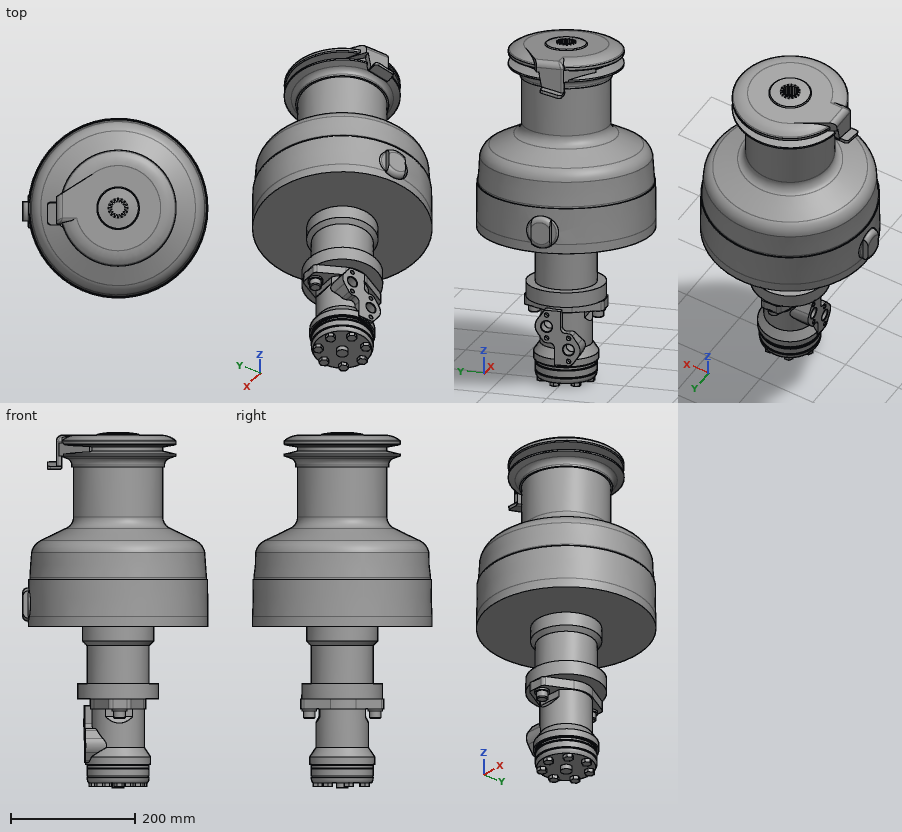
import cadquery as cq
import math


TOP_Z = 571.0
CAP_Z = 567.0
BOSS_EDGE_Z = 569.0
BOSS_R = 32.5
BOSS_FOOT_R = 34.0
CAP_FLAT_R = 68.5
JAW_R = 187.0 / 2
DRUM_R = 144.0 / 2
CAP_RIM_TOP_Z = 559.0
CAP_RIM_BOTTOM_Z = 551.0
CAP_RIM_BEVEL = 1.5
GROOVE_TOP_Z = 548.0
GROOVE_BOTTOM_Z = 541.5
LOWER_RIM_TOP_Z = 536.5
LOWER_RIM_BOTTOM_Z = 533.5
LOWER_LIP_R = 82.0
LOWER_LIP_Z = 529.5
COLLAR_R = 75.0
COLLAR_TOP_Z = 519.0
COLLAR_BOTTOM_Z = 516.0

NECK_TOP_Z = 435.5
SHOULDER_TOP = (84.5, 417.0)
SHOULDER_BOTTOM = (124.5, 397.5)
SHELL_TOP = (139.5, 379.0)
SEAM_R = 142.0
SEAM_TOP_Z = 338.0
SEAM_BOTTOM_Z = 335.5
HOUSING_R = 144.5
HOUSING_TAPER_R = 144.0
HOUSING_TAPER_Z = 275.5
HOUSING_BOTTOM_Z = 259.5

GEARBOX_R = 115.0 / 2
GEARBOX_BOTTOM_Z = 236.0
TUBE_R = 100.0 / 2
TUBE_TOP_Z = 228.5
FLANGE_R = 130.0 / 2
FLANGE_TOP_Z = 167.5
FLANGE_BOTTOM_Z = 143.0

SOCKET_OUTER_R = 32.0 / 2
SOCKET_INNER_R = 10.0
SOCKET_TEETH = 16
SOCKET_DEPTH = 23.0

ARM_OUTER_X = -99.5
ARM_THICKNESS = 9.0
ARM_BEND_R = 10.0
ARM_EDGE_R = 3.0
ARM_BACK_TOP_Y = 18.0
ARM_BACK_BOTTOM_Y = 9.5
ARM_FRONT_Y = -25.5
ARM_ROOT_FRONT = (-65.0, -17.5)
ARM_ROOT_BACK = (-38.0, 56.5)
ARM_PLATE_DEPTH = 18.0
FOOT_OUTER_X = -113.5
FOOT_THICKNESS = 5.0
FOOT_BOTTOM_Z = 512.0
FOOT_TILT = 12.0
FOOT_CORNER_R = 5.0
FOOT_HEEL_R = 4.0
FINGER_BACK = (-64.5, 31.5)
FINGER_ROOT_FRONT = (-95.5, -25.5)
FINGER_FRONT = (-46.0, -64.5)

KNOB_Y = -5.0
KNOB_Z = 295.0
KNOB_R = 53.5 / 2
KNOB_FACE_X = -153.5
KNOB_DISC_X = -144.5
KNOB_GRIP_WIDTH = 31.5
KNOB_EDGE_R = 8.5
KNOB_DISC_EDGE_R = 3.0

MOTOR_TURN = 2.5
PLATE_BOTTOM_Z = 127.0
PLATE_R = 89.5 / 2
EAR_LENGTH = 133.0 / 2
EAR_HALF_WIDTH = 16.0
EAR_CORNER_R = 7.5
BODY_R = 85.0 / 2
BODY_BOTTOM_Z = 64.5
BULGE_R = 105.0 / 2
BULGE_TOP_Z = 49.5
BULGE_BOTTOM_Z = 37.5
END_COVER_R = TUBE_R
END_COVER_Z = 8.0
END_COVER_ROUND_Z = 16.0
END_COVER_BOTTOM_R = 47.5
END_GROOVE_Z = (36.5, 31.0, 17.5)
END_GROOVE_WIDTH = 1.5
END_GROOVE_DEPTH = 1.0
PLUG_R = 19.0 / 2
END_BOLT_COUNT = 7
END_BOLT_CIRCLE_R = 39.5
END_BOLT_CORNERS = 16.5
END_BOLT_BOTTOM_Z = 1.5

MOUNT_BOLT_Y = 53.0
WASHER_R = 24.0 / 2
WASHER_BOTTOM_Z = 123.5
MOUNT_HEAD_R = 19.0 / 2
MOUNT_HEAD_BOTTOM_Z = 111.5
MOUNT_HEAD_CHAMFER = 1.5
RELIEF_Y = 36.5
RELIEF_BOTTOM_Z = 114.0
RELIEF_SLOPE = 1.7

PORT_FACE_X = -53.5
PORT_MID_Z = 86.0
PORT_OFFSET = 18.0
PORT_R = 18.0 / 2
PORT_BEVEL = 0.85
PORT_DEPTH = 20.0
PORT_LOBE_R = 38.0 / 2
PIN_SPACING = 19.5
PIN_R = 7.0 / 2
PIN_BEVEL = 0.3
PIN_DEPTH = 8.5
PIN_LOBE_R = 8.0
BRIDGE_HALF_WIDTH = 5.0
BRIDGE_FILLET = 8.0
DRILL_TIP_ANGLE = 118.0

OVERLAP = 3.0


def cylinder(radius, bottom, top, x=0.0, y=0.0):
    """Upright cylinder between two heights."""
    return cq.Workplane("XY", origin=(x, y, bottom)).circle(radius).extrude(top - bottom)


def make_drum_and_housing():
    """One turned body from the handle boss down to the gearbox flange."""
    profile = (
        cq.Workplane("XZ")
        .moveTo(0, TOP_Z)
        .lineTo(SOCKET_OUTER_R, TOP_Z)
        .lineTo(BOSS_R, BOSS_EDGE_Z)
        .lineTo(BOSS_FOOT_R, CAP_Z)
        .lineTo(CAP_FLAT_R, CAP_Z)
        .tangentArcPoint((JAW_R - CAP_RIM_BEVEL, CAP_RIM_TOP_Z), relative=False)
        .lineTo(JAW_R, CAP_RIM_TOP_Z - CAP_RIM_BEVEL)
        .lineTo(JAW_R, CAP_RIM_BOTTOM_Z + CAP_RIM_BEVEL)
        .lineTo(JAW_R - CAP_RIM_BEVEL, CAP_RIM_BOTTOM_Z)
        .lineTo(DRUM_R, GROOVE_TOP_Z)
        .lineTo(DRUM_R, GROOVE_BOTTOM_Z)
        .lineTo(JAW_R, LOWER_RIM_TOP_Z)
        .lineTo(JAW_R, LOWER_RIM_BOTTOM_Z)
        .lineTo(LOWER_LIP_R, LOWER_LIP_Z)
        .tangentArcPoint((COLLAR_R, COLLAR_TOP_Z), relative=False)
        .lineTo(COLLAR_R, COLLAR_BOTTOM_Z)
        .lineTo(DRUM_R, COLLAR_BOTTOM_Z)
        .lineTo(DRUM_R, NECK_TOP_Z)
        .tangentArcPoint(SHOULDER_TOP, relative=False)
        .lineTo(*SHOULDER_BOTTOM)
        .tangentArcPoint(SHELL_TOP, relative=False)
        .lineTo(SEAM_R, SEAM_TOP_Z)
        .lineTo(SEAM_R, SEAM_BOTTOM_Z)
        .lineTo(HOUSING_TAPER_R, SEAM_BOTTOM_Z)
        .lineTo(HOUSING_R, HOUSING_TAPER_Z)
        .lineTo(HOUSING_R, HOUSING_BOTTOM_Z)
        .lineTo(GEARBOX_R, HOUSING_BOTTOM_Z)
        .lineTo(GEARBOX_R, GEARBOX_BOTTOM_Z)
        .lineTo(TUBE_R, TUBE_TOP_Z)
        .lineTo(TUBE_R, FLANGE_TOP_Z)
        .lineTo(FLANGE_R, FLANGE_TOP_Z)
        .lineTo(FLANGE_R, FLANGE_BOTTOM_Z)
        .lineTo(0, FLANGE_BOTTOM_Z)
        .close()
    )
    return profile.revolve(360, (0, 0, 0), (0, 1, 0))


def make_socket():
    """Splined blind socket for the winch handle."""
    quarter_pitch = math.pi / SOCKET_TEETH / 2
    outline = []
    for step in range(4 * SOCKET_TEETH):
        radius = SOCKET_OUTER_R if step % 4 < 2 else SOCKET_INNER_R
        angle = (step - 0.5) * quarter_pitch
        outline.append((radius * math.cos(angle), radius * math.sin(angle)))
    return cq.Workplane("XY", origin=(0, 0, TOP_Z)).polyline(outline).close().extrude(-SOCKET_DEPTH)


def make_arm():
    """Flat arm on the cap that bends down outside the jaws and ends in a tilted foot."""
    inner_x = ARM_OUTER_X + ARM_THICKNESS
    plate = (
        cq.Workplane("XY", origin=(0, 0, CAP_Z))
        .polyline([
            (0, 0),
            ARM_ROOT_BACK,
            (ARM_OUTER_X, ARM_BACK_TOP_Y),
            (ARM_OUTER_X, ARM_FRONT_Y),
            ARM_ROOT_FRONT,
        ])
        .close()
        .extrude(-ARM_PLATE_DEPTH)
    )
    leg_bottom_z = FOOT_BOTTOM_Z + FOOT_THICKNESS / 2
    tilt_rise = math.tan(math.radians(FOOT_TILT)) * (ARM_BACK_BOTTOM_Y - ARM_FRONT_Y)
    leg = (
        cq.Workplane("YZ", origin=(ARM_OUTER_X, 0, 0))
        .polyline([
            (ARM_BACK_TOP_Y, CAP_Z),
            (ARM_BACK_BOTTOM_Y, leg_bottom_z + tilt_rise),
            (ARM_FRONT_Y, leg_bottom_z),
            (ARM_FRONT_Y, CAP_Z),
        ])
        .close()
        .extrude(ARM_THICKNESS)
    )
    arm = plate.union(leg)
    front_edge = cq.selectors.NearestToPointSelector((ARM_OUTER_X, ARM_FRONT_Y, (CAP_Z + FOOT_BOTTOM_Z) / 2))
    arm = arm.edges(front_edge).fillet(ARM_EDGE_R)
    bend = cq.selectors.NearestToPointSelector((ARM_OUTER_X, (ARM_BACK_TOP_Y + ARM_FRONT_Y) / 2, CAP_Z))
    arm = arm.edges(bend).fillet(ARM_BEND_R)

    foot_width = (ARM_BACK_BOTTOM_Y - ARM_FRONT_Y) / math.cos(math.radians(FOOT_TILT))
    foot = (
        cq.Workplane("XY", origin=(FOOT_OUTER_X, ARM_FRONT_Y, FOOT_BOTTOM_Z))
        .box(inner_x - FOOT_OUTER_X, foot_width, FOOT_THICKNESS, centered=False)
        .edges("|Z and <X")
        .fillet(FOOT_CORNER_R)
        .edges("|Y and >X and <Z")
        .fillet(FOOT_HEEL_R)
        .rotate((0, ARM_FRONT_Y, FOOT_BOTTOM_Z), (1, ARM_FRONT_Y, FOOT_BOTTOM_Z), FOOT_TILT)
    )
    return arm.union(foot)


def make_finger():
    """Rope guide that fills the jaw groove beside the arm."""
    return (
        cq.Workplane("XY", origin=(0, 0, LOWER_RIM_BOTTOM_Z))
        .polyline([
            (0, 0),
            FINGER_BACK,
            (ARM_OUTER_X + ARM_THICKNESS, ARM_BACK_BOTTOM_Y),
            FINGER_ROOT_FRONT,
            FINGER_FRONT,
        ])
        .close()
        .extrude(CAP_RIM_BOTTOM_Z + OVERLAP - LOWER_RIM_BOTTOM_Z)
    )


def make_knob():
    """Round base with a rounded grip bar standing across it."""
    base_x = -HOUSING_R + 2 * KNOB_EDGE_R
    side = cq.Workplane("YZ", origin=(base_x, KNOB_Y, KNOB_Z))
    disc = side.circle(KNOB_R).extrude(KNOB_DISC_X - base_x).faces("<X").edges().fillet(KNOB_DISC_EDGE_R)
    dome = side.circle(KNOB_R).extrude(KNOB_FACE_X - base_x).faces("<X").edges().fillet(KNOB_EDGE_R)
    grip = side.rect(KNOB_GRIP_WIDTH, 2 * KNOB_R).extrude(KNOB_FACE_X - base_x)
    return disc.union(dome.intersect(grip))


def make_motor_plate():
    """Two-ear mounting plate: round middle with straight flanks tangent to it."""
    corner_distance = math.hypot(EAR_HALF_WIDTH, EAR_LENGTH)
    tangent_angle = math.atan2(EAR_LENGTH, EAR_HALF_WIDTH) - math.acos(PLATE_R / corner_distance)
    tangent_x = PLATE_R * math.cos(tangent_angle)
    tangent_y = PLATE_R * math.sin(tangent_angle)
    ears = (
        cq.Workplane("XY", origin=(0, 0, PLATE_BOTTOM_Z))
        .moveTo(tangent_x, -tangent_y)
        .threePointArc((PLATE_R, 0), (tangent_x, tangent_y))
        .lineTo(EAR_HALF_WIDTH, EAR_LENGTH)
        .lineTo(-EAR_HALF_WIDTH, EAR_LENGTH)
        .lineTo(-tangent_x, tangent_y)
        .threePointArc((-PLATE_R, 0), (-tangent_x, -tangent_y))
        .lineTo(-EAR_HALF_WIDTH, -EAR_LENGTH)
        .lineTo(EAR_HALF_WIDTH, -EAR_LENGTH)
        .close()
        .extrude(FLANGE_BOTTOM_Z - PLATE_BOTTOM_Z)
    )
    return ears.edges("|Z and (<Y or >Y)").fillet(EAR_CORNER_R)


def make_motor_body():
    """Turned motor body with bulge, grooved end cover and wrench reliefs under the ears."""
    body = (
        cq.Workplane("XZ")
        .moveTo(0, FLANGE_BOTTOM_Z)
        .lineTo(BODY_R, FLANGE_BOTTOM_Z)
        .lineTo(BODY_R, BODY_BOTTOM_Z)
        .lineTo(BULGE_R, BULGE_TOP_Z)
        .lineTo(BULGE_R, BULGE_BOTTOM_Z)
        .lineTo(END_COVER_R, BULGE_BOTTOM_Z)
        .lineTo(END_COVER_R, END_COVER_ROUND_Z)
        .tangentArcPoint((END_COVER_BOTTOM_R, END_COVER_Z), relative=False)
        .lineTo(0, END_COVER_Z)
        .close()
        .revolve(360, (0, 0, 0), (0, 1, 0))
    )
    for groove_z in END_GROOVE_Z:
        bottom = groove_z - END_GROOVE_WIDTH / 2
        top = groove_z + END_GROOVE_WIDTH / 2
        ring = cylinder(END_COVER_R + OVERLAP, bottom, top)
        body = body.cut(ring.cut(cylinder(END_COVER_R - END_GROOVE_DEPTH, bottom, top)))

    relief_depth = BODY_R - RELIEF_Y + OVERLAP
    relief = (
        cq.Workplane("YZ", origin=(-BODY_R, 0, 0))
        .polyline([
            (RELIEF_Y, PLATE_BOTTOM_Z),
            (RELIEF_Y, RELIEF_BOTTOM_Z),
            (RELIEF_Y + relief_depth, RELIEF_BOTTOM_Z - RELIEF_SLOPE * relief_depth),
            (RELIEF_Y + relief_depth, PLATE_BOTTOM_Z),
        ])
        .close()
        .extrude(2 * BODY_R)
    )
    return body.cut(relief).cut(relief.mirror("XZ"))


def make_mount_bolts():
    """Washer and bolt head under each ear."""
    bolts = cq.Workplane("XY")
    for y in (-MOUNT_BOLT_Y, MOUNT_BOLT_Y):
        head = cylinder(MOUNT_HEAD_R, MOUNT_HEAD_BOTTOM_Z, PLATE_BOTTOM_Z + OVERLAP, y=y)
        bolts = bolts.union(head.faces("<Z").chamfer(MOUNT_HEAD_CHAMFER))
        bolts = bolts.union(cylinder(WASHER_R, WASHER_BOTTOM_Z, PLATE_BOTTOM_Z + OVERLAP, y=y))
    return bolts


def make_end_bolts():
    """Ring of hexagon bolt heads around a central plug on the end cover."""
    heads = cylinder(PLUG_R, 0, END_COVER_Z + OVERLAP)
    for index in range(END_BOLT_COUNT):
        angle = math.radians(-90 + index * 360 / END_BOLT_COUNT)
        x = END_BOLT_CIRCLE_R * math.cos(angle)
        y = END_BOLT_CIRCLE_R * math.sin(angle)
        head = (
            cq.Workplane("XY", origin=(x, y, END_BOLT_BOTTOM_Z))
            .polygon(6, END_BOLT_CORNERS)
            .extrude(END_COVER_Z + OVERLAP - END_BOLT_BOTTOM_Z)
        )
        heads = heads.union(head)
    return heads


def port_plane():
    """Plane of the port face; local x runs toward -Y and local y runs up."""
    return cq.Workplane(cq.Plane(origin=(PORT_FACE_X, 0, PORT_MID_Z), xDir=(0, -1, 0), normal=(-1, 0, 0)))


def make_port_lobe(side):
    """Tangent hull of a port circle and the pin circles above and below it."""
    swing = math.asin((PORT_LOBE_R - PIN_LOBE_R) / PIN_SPACING)
    cos_swing = math.cos(swing)
    sin_swing = math.sin(swing)
    x = side * PORT_OFFSET
    y = -side * PORT_OFFSET
    pin_x = PIN_LOBE_R * cos_swing
    pin_y = PIN_SPACING + PIN_LOBE_R * sin_swing
    port_x = PORT_LOBE_R * cos_swing
    port_y = PORT_LOBE_R * sin_swing
    return (
        port_plane()
        .moveTo(x + pin_x, y + pin_y)
        .threePointArc((x, y + PIN_SPACING + PIN_LOBE_R), (x - pin_x, y + pin_y))
        .lineTo(x - port_x, y + port_y)
        .threePointArc((x - PORT_LOBE_R, y), (x - port_x, y - port_y))
        .lineTo(x - pin_x, y - pin_y)
        .threePointArc((x, y - PIN_SPACING - PIN_LOBE_R), (x + pin_x, y - pin_y))
        .lineTo(x + port_x, y - port_y)
        .threePointArc((x + PORT_LOBE_R, y), (x + port_x, y + port_y))
        .close()
        .extrude(PORT_FACE_X)
    )


def make_port_block():
    """S-shaped block that carries two ports on the motor side."""
    lobe_end = PIN_SPACING + PIN_LOBE_R
    block = make_port_lobe(-1).union(make_port_lobe(1))
    for side in (-1, 1):
        inner_x = -side * BRIDGE_HALF_WIDTH
        outer_x = side * PORT_OFFSET
        web = (
            port_plane()
            .center((inner_x + outer_x) / 2, -side * PORT_OFFSET)
            .rect(abs(outer_x - inner_x), 2 * lobe_end)
            .extrude(PORT_FACE_X)
        )
        block = block.union(web)
    notch_z = lobe_end - PORT_OFFSET
    for side in (-1, 1):
        notch = (PORT_FACE_X / 2, side * BRIDGE_HALF_WIDTH, PORT_MID_Z - side * notch_z)
        block = block.edges(cq.selectors.NearestToPointSelector(notch)).fillet(BRIDGE_FILLET)
    return block


def drilled_hole(radius, bevel, depth, x, y):
    """Blind drilling with a bevelled mouth and a conical tip, sunk into the port face."""
    tip = radius / math.tan(math.radians(DRILL_TIP_ANGLE / 2))
    drill = (
        cq.Workplane("XZ")
        .polyline([(0, 0), (radius + bevel, 0), (radius, -bevel), (radius, -depth), (0, -depth - tip)])
        .close()
        .revolve(360, (0, 0, 0), (0, 1, 0))
    )
    turned = drill.rotate((0, 0, 0), (0, 1, 0), -90)
    return turned.translate((PORT_FACE_X, -x, PORT_MID_Z + y))


def make_port_holes():
    """Both ports, each with a pin hole above and below it."""
    holes = cq.Workplane("XY")
    for side in (-1, 1):
        x = side * PORT_OFFSET
        y = -side * PORT_OFFSET
        holes = holes.union(drilled_hole(PORT_R, PORT_BEVEL, PORT_DEPTH, x, y))
        for rise in (-PIN_SPACING, PIN_SPACING):
            holes = holes.union(drilled_hole(PIN_R, PIN_BEVEL, PIN_DEPTH, x, y + rise))
    return holes


def make_motor():
    """Complete motor, turned slightly about the winch axis."""
    motor = make_motor_body().union(make_motor_plate())
    motor = motor.union(make_mount_bolts()).union(make_end_bolts())
    motor = motor.union(make_port_block()).cut(make_port_holes())
    return motor.rotate((0, 0, 0), (0, 0, 1), MOTOR_TURN)


winch = make_drum_and_housing()
winch = winch.union(make_arm()).union(make_finger()).union(make_knob())
winch = winch.cut(make_socket())
result = winch.union(make_motor())